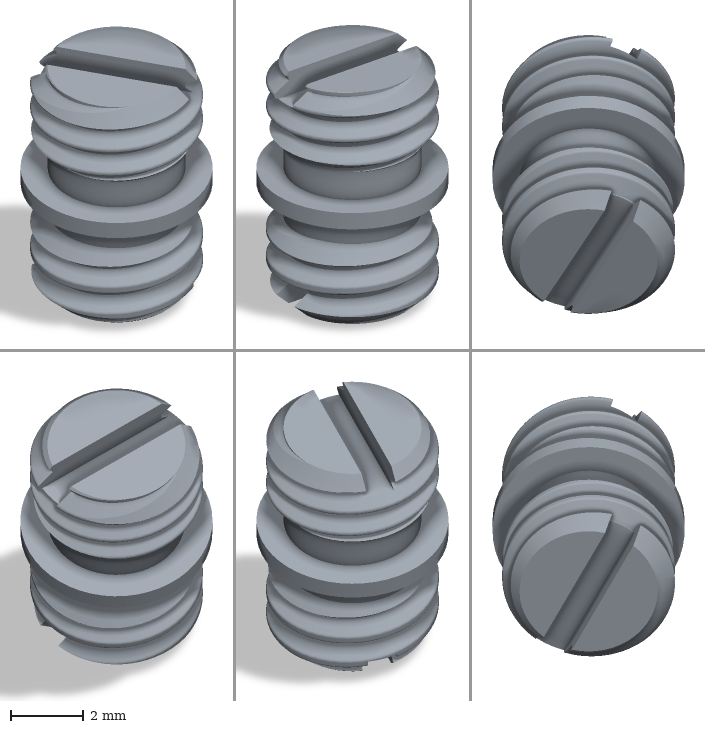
import cadquery as cq
import math

total_length = 7.37
core_radius = 3.83 / 2
thread_radius = 4.805 / 2
flange_radius = 5.335 / 2
flange_thickness = 0.515
thread_length = 2.54

slot_width = 0.885
slot_depth = 0.76

flank_angle = 30.0
crest_rounding = 0.09
root_width = 0.125
upper_pitch = 0.795
upper_crest_height = 6.375
lower_pitch = 0.9
lower_crest_height = 1.635

turns_below_crest = 2.5
ridge_turns = 4.5
ridge_overlap = 0.04
envelope_seam_angle = 270


def cylinder(radius, bottom, height):
    return cq.Workplane("XY").workplane(offset=bottom).circle(radius).extrude(height)


def turn_about_z(solid, angle):
    return solid.rotate((0, 0, 0), (0, 0, 1), angle)


def thread_envelope(bottom):
    """Cylinder just clear of the crests, with 45 degree cones down to the core at both ends."""
    radius = thread_radius + ridge_overlap
    blank = cylinder(radius, bottom, thread_length).faces("<Z or >Z").chamfer(radius - core_radius)
    return turn_about_z(blank, envelope_seam_angle)


def thread_ridge(pitch, crest_height):
    """Right-hand ridge with straight flanks and rounded crest edges, wound around the core."""
    flank = math.radians(flank_angle)
    base_radius = core_radius - ridge_overlap
    half_base = (pitch - root_width) / 2 + ridge_overlap * math.tan(flank)
    half_sharp_crest = half_base - (thread_radius - base_radius) * math.tan(flank)
    start = crest_height - turns_below_crest * pitch

    half_flat = half_sharp_crest - crest_rounding * math.tan((math.pi / 2 - flank) / 2)
    arc_center_radius = thread_radius - crest_rounding

    def crest_arc_point(angle, side):
        radius = arc_center_radius + crest_rounding * math.cos(angle)
        return radius, start + side * (half_flat + crest_rounding * math.sin(angle))

    flank_normal = math.pi / 2 - flank
    lower_flank_end, lower_arc_middle, lower_crest_end = [
        crest_arc_point(angle, -1) for angle in (flank_normal, flank_normal / 2, 0)
    ]
    upper_crest_end, upper_arc_middle, upper_flank_end = [
        crest_arc_point(angle, 1) for angle in (0, flank_normal / 2, flank_normal)
    ]

    path = cq.Wire.makeHelix(pitch, ridge_turns * pitch, core_radius, center=cq.Vector(0, 0, start))
    profile = (
        cq.Workplane("XZ")
        .moveTo(base_radius, start - half_base)
        .lineTo(*lower_flank_end)
        .threePointArc(lower_arc_middle, lower_crest_end)
        .lineTo(*upper_crest_end)
        .threePointArc(upper_arc_middle, upper_flank_end)
        .lineTo(base_radius, start + half_base)
        .close()
    )
    ridge = profile.sweep(path, isFrenet=True)
    return turn_about_z(ridge, -360 * turns_below_crest)


def thread(bottom, pitch, crest_height):
    return thread_envelope(bottom).intersect(thread_ridge(pitch, crest_height))


def end_slot(bottom):
    return (
        cq.Workplane("XY")
        .workplane(offset=bottom)
        .rect(2 * flange_radius, slot_width)
        .extrude(slot_depth)
    )


core = cylinder(core_radius, 0, total_length)
flange = cylinder(flange_radius, (total_length - flange_thickness) / 2, flange_thickness)
lower_thread = thread(0, lower_pitch, lower_crest_height)
upper_thread = thread(total_length - thread_length, upper_pitch, upper_crest_height)

body = core.union(flange).union(lower_thread).union(upper_thread)
for slot_bottom in (0, total_length - slot_depth):
    body = body.cut(end_slot(slot_bottom))

result = body